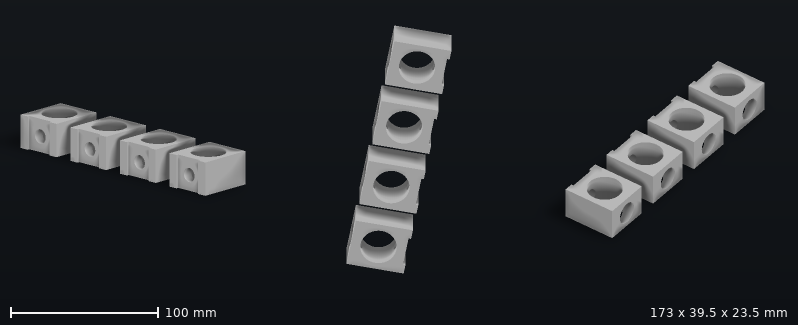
import cadquery as cq

block_count = 4
row_length = 173.0
block_width = 33.5
block_depth = 39.5
block_height = 23.5
block_pitch = (row_length - block_width) / (block_count - 1)

bore_diameter = 24.7
bore_from_back = 18.9
bore_center_y = block_depth - bore_from_back

channel_width = 20.2
channel_depth = 1.7

hole_axis_height = 11.0
screw_hole_diameter = 10.0
access_hole_diameter = 16.0


def make_cross_hole(diameter, start_y, end_y):
    """Cylinder along Y on the cross-hole axis, from start_y to end_y."""
    return (
        cq.Workplane("XZ")
        .workplane(offset=-start_y)
        .center(0, hole_axis_height)
        .circle(diameter / 2)
        .extrude(start_y - end_y)
    )


def make_block(left_x):
    """One block with its left side at left_x, front face at Y = 0 and base at Z = 0."""
    center_x = left_x + block_width / 2
    body = cq.Workplane("XY").box(block_width, block_depth, block_height, centered=(True, False, False))

    channel = cq.Workplane("XY").box(
        channel_width, channel_depth, block_height, centered=(True, False, False)
    )

    bore = (
        cq.Workplane("XY")
        .center(0, bore_center_y)
        .circle(bore_diameter / 2)
        .extrude(block_height)
    )

    screw_hole = make_cross_hole(screw_hole_diameter, 0, bore_center_y)
    access_hole = make_cross_hole(access_hole_diameter, bore_center_y, block_depth)

    block = body.cut(channel).cut(bore).cut(screw_hole).cut(access_hole)
    return block.translate((center_x, 0, 0))


blocks = [make_block(i * block_pitch) for i in range(block_count)]

result = cq.Compound.makeCompound([block.val() for block in blocks])